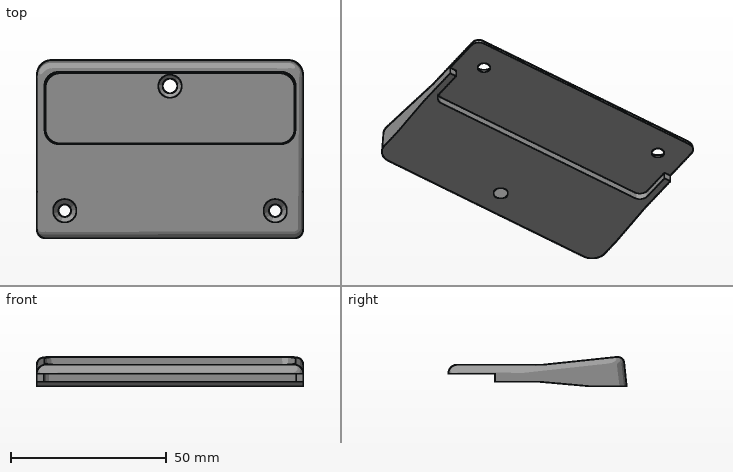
import cadquery as cq
import math

LENGTH = 85.6
WIDTH = 57.4
FRONT_Y = -WIDTH / 2
BACK_Y = WIDTH / 2
ABOVE_PART = 12.0

PLATE_TOP = 7.0
PLATE_BOTTOM = 4.0
PLATE_ROUND = 2.9
CREASE_Y = 1.7

RIM_ANGLE = 6.0
RIM_ROUND = 2.1
RIM_CORNER = 4.9
RIM_START_Y = -9.4
RIM_BODY_DEPTH = 17.1

STEP_Y = -13.7
FOOT_BOTTOM = 1.45
SLOPE_TOP_Y = 0.85
SLOPE_BOTTOM_Y = 17.1

RECESS_WALL = 2.3
RECESS_BACK_Y = -1.0
RECESS_CORNER = 3.0

POCKET_WALL = 3.0
POCKET_BACK_Y = 24.2
POCKET_FRONT_Y = 2.05
POCKET_CORNER = 4.3
POCKET_DRAFT = 4.0
FLOOR_BACK = 1.45
FLOOR_FRONT = 2.3

SINK_DIAMETER = 7.5
SINK_CLEARANCE = 0.4
FRONT_EXIT_DIAMETER = 3.9
BACK_EXIT_DIAMETER = 4.6
FRONT_SCREW_X = 33.8
FRONT_SCREW_Y = -19.8
BACK_SCREW_Y = 20.3


def side_profile(points):
    """Extrude a (Y, Z) outline over the full length of the part."""
    return cq.Workplane("YZ").polyline(points).close().extrude(LENGTH / 2, both=True)


def plate():
    """Flat plate with rounded front corners and a rounded top edge."""
    depth = CREASE_Y - FRONT_Y
    body = (
        cq.Workplane("XY", origin=(0, FRONT_Y + depth / 2, PLATE_BOTTOM))
        .box(LENGTH, depth, PLATE_TOP - PLATE_BOTTOM, centered=(True, True, False))
    )
    body = body.edges("|Z and <Y").fillet(PLATE_ROUND)
    return body.faces("<Y").edges(">Z").fillet(PLATE_ROUND)


def underside_limit():
    """Everything above the stepped and sloped underside of the foot."""
    return side_profile([
        (STEP_Y, FOOT_BOTTOM),
        (SLOPE_TOP_Y, FOOT_BOTTOM),
        (SLOPE_BOTTOM_Y, 0),
        (BACK_Y, 0),
        (BACK_Y, ABOVE_PART),
        (STEP_Y, ABOVE_PART),
    ])


def rim_body():
    """Block square to the tilted rim plane, rounded and trimmed to the underside."""
    angle = math.radians(RIM_ANGLE)
    back = (BACK_Y - CREASE_Y) * math.cos(angle) - PLATE_TOP * math.sin(angle)
    front = RIM_START_Y - CREASE_Y
    rim_plane = cq.Plane(
        origin=(0, CREASE_Y, PLATE_TOP),
        xDir=(1, 0, 0),
        normal=(0, -math.sin(angle), math.cos(angle)),
    )
    body = (
        cq.Workplane(rim_plane)
        .center(0, (front + back) / 2)
        .rect(LENGTH, back - front)
        .extrude(-RIM_BODY_DEPTH)
    )
    upright = cq.selectors.ParallelDirSelector(rim_plane.zDir)
    body = body.edges(upright).edges(">Y").fillet(RIM_CORNER)
    topmost = cq.selectors.DirectionMinMaxSelector(rim_plane.zDir)
    body = body.faces(topmost).edges("not <Y").fillet(RIM_ROUND)
    return body.intersect(underside_limit())


def foot():
    """Square-edged block below the plate, flush with its sides."""
    return side_profile([
        (STEP_Y, FOOT_BOTTOM),
        (SLOPE_TOP_Y, FOOT_BOTTOM),
        (SLOPE_TOP_Y, PLATE_BOTTOM),
        (STEP_Y, PLATE_BOTTOM),
    ])


def recess():
    """Hollow in the foot, open to the front and below."""
    depth = RECESS_BACK_Y - STEP_Y
    body = (
        cq.Workplane("XY", origin=(0, STEP_Y + depth / 2, 0))
        .box(LENGTH - 2 * RECESS_WALL, depth, PLATE_BOTTOM, centered=(True, True, False))
    )
    return body.edges("|Z and >Y").fillet(RECESS_CORNER)


def floor_height(y):
    """Height of the sloping pocket floor at a given Y."""
    share = (y - POCKET_FRONT_Y) / (POCKET_BACK_Y - POCKET_FRONT_Y)
    return FLOOR_FRONT + share * (FLOOR_BACK - FLOOR_FRONT)


def pocket():
    """Drafted pocket with a sloping floor."""
    depth = POCKET_BACK_Y - POCKET_FRONT_Y
    walls = (
        cq.Workplane("XY", origin=(0, POCKET_FRONT_Y + depth / 2, 0))
        .sketch()
        .rect(LENGTH - 2 * POCKET_WALL, depth)
        .vertices()
        .fillet(POCKET_CORNER)
        .finalize()
        .extrude(ABOVE_PART, taper=-POCKET_DRAFT)
    )
    above_floor = side_profile([
        (FRONT_Y, floor_height(FRONT_Y)),
        (BACK_Y, floor_height(BACK_Y)),
        (BACK_Y, ABOVE_PART),
        (FRONT_Y, ABOVE_PART),
    ])
    return walls.intersect(above_floor)


def countersink(x, y, top, bottom, exit_diameter):
    """Cone tapering from the screw head size at `top` to `exit_diameter` at `bottom`."""
    cone = (
        cq.Workplane("XY", origin=(x, y, bottom))
        .circle(exit_diameter / 2)
        .workplane(offset=top - bottom)
        .circle(SINK_DIAMETER / 2)
        .loft()
    )
    clearance = cq.Workplane("XY", origin=(x, y, top)).circle(SINK_DIAMETER / 2).extrude(SINK_CLEARANCE)
    return cone.union(clearance)


result = plate().union(foot()).union(rim_body())
result = result.cut(recess()).cut(pocket())
for x in (-FRONT_SCREW_X, FRONT_SCREW_X):
    result = result.cut(countersink(x, FRONT_SCREW_Y, PLATE_TOP, PLATE_BOTTOM, FRONT_EXIT_DIAMETER))
result = result.cut(countersink(0, BACK_SCREW_Y, floor_height(BACK_SCREW_Y), 0, BACK_EXIT_DIAMETER))